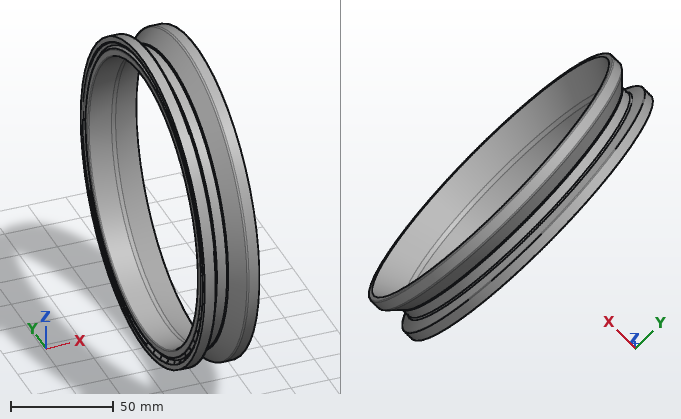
import cadquery as cq
import math

width = 28.6
rim_radius = 84.1
flange_radius = 83.5
bore_radius = 146.9 / 2

groove_floor_radius = 76.5
steep_wall_start = 5.9
steep_wall_angle = 20.0
slope_start = 14.6
slope_angle = 45.0
floor_fillet = 1.0
slope_top_fillet = 1.3

flare_start = 13.5
flare_mouth_radius = 81.5
flare_fillet = 5.0

seal_groove_radius = 78.8
seal_round_radius = 1.5

edge_fillet = 0.5


def ring_profile():
    """Half section of the ring, with X along the axis and Y as the radius."""
    steep_depth = flange_radius - groove_floor_radius
    steep_run = steep_depth * math.tan(math.radians(steep_wall_angle))
    slope_run = (rim_radius - groove_floor_radius) / math.tan(math.radians(slope_angle))
    return [
        (0, bore_radius),
        (0, flange_radius),
        (steep_wall_start, flange_radius),
        (steep_wall_start + steep_run, groove_floor_radius),
        (slope_start, groove_floor_radius),
        (slope_start + slope_run, rim_radius),
        (width, rim_radius),
        (width, flare_mouth_radius),
        (flare_start, bore_radius),
    ]


def revolve_about_x(sketch):
    return sketch.revolve(360, (0, 0, 0), (1, 0, 0))


def fillet_circle(body, corner, fillet_radius):
    """Round the circular edge that passes through a corner of the profile."""
    axial, radius = corner
    reach = 0.02
    picked = [
        edge for edge in body.edges("%CIRCLE").vals()
        if abs(edge.Center().x - axial) < reach and abs(edge.radius() - radius) < reach
    ]
    return body.newObject(picked).fillet(fillet_radius)


corners = ring_profile()
(bore_edge, _, steep_top, steep_foot, slope_foot, slope_top, rim_edge, _, flare_throat) = corners
ring = revolve_about_x(cq.Workplane("XY").polyline(corners).close())

seal_groove = revolve_about_x(
    cq.Workplane("XY").center(0, seal_groove_radius).circle(seal_round_radius)
    .center(0, -seal_groove_radius)
)
ring = ring.cut(seal_groove)

corner_fillets = [
    (bore_edge, edge_fillet),
    ((0, seal_groove_radius - seal_round_radius), edge_fillet),
    ((0, seal_groove_radius + seal_round_radius), edge_fillet),
    (steep_top, edge_fillet),
    (steep_foot, floor_fillet),
    (slope_foot, floor_fillet),
    (slope_top, slope_top_fillet),
    (rim_edge, edge_fillet),
    (flare_throat, flare_fillet),
]
for corner, fillet_radius in corner_fillets:
    ring = fillet_circle(ring, corner, fillet_radius)

result = ring